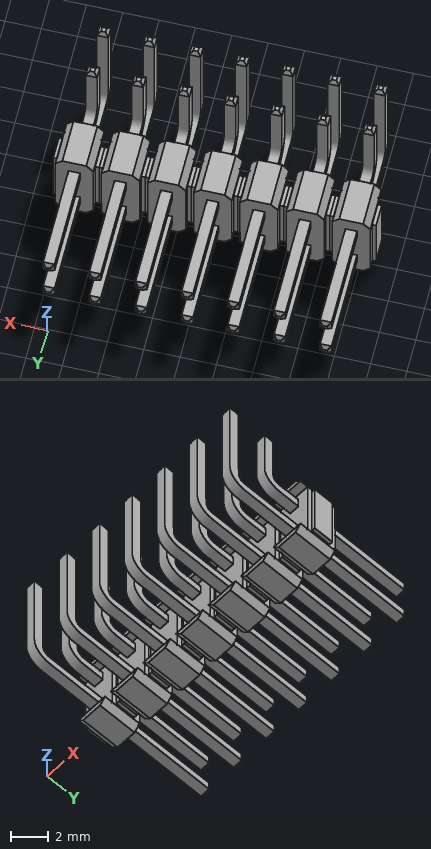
import cadquery as cq
import math

UNIT_COUNT = 7
ROW_LENGTH = 17.78
PITCH = ROW_LENGTH / UNIT_COUNT

BLOCK_WIDTH = 2.1
BLOCK_HEIGHT = 5.0
BLOCK_DEPTH = 2.01
FLANGE_DEPTH = 2.55
FLANGE_THICKNESS = 0.43
CORNER_CHAMFER_WIDTH = 0.4

WEB_HEIGHT = 3.8
WEB_DEPTH = 1.3
WEB_SETBACK = 0.41

PIN_SIZE = 0.64
PIN_BACK_LENGTH = 6.0
TOTAL_DEPTH = 13.03
TOTAL_HEIGHT = 8.0
BEND_INNER_RADIUS = 0.48
TIP_CHAMFER = 0.2

BEND_RADIUS = BEND_INNER_RADIUS + PIN_SIZE / 2
PIN_TOP = TOTAL_HEIGHT - BLOCK_HEIGHT / 2
LOWER_LEG_Y = PIN_BACK_LENGTH - TOTAL_DEPTH + PIN_SIZE / 2
UPPER_LEG_Y = LOWER_LEG_Y + PITCH


def make_block():
    """Flanged block with sloped long edges at its top and bottom."""
    half_width = BLOCK_WIDTH / 2
    half_height = BLOCK_HEIGHT / 2
    flat_half_width = half_width - CORNER_CHAMFER_WIDTH
    side_half_height = half_height - FLANGE_THICKNESS
    octagon = [
        (half_width, side_half_height),
        (flat_half_width, half_height),
        (-flat_half_width, half_height),
        (-half_width, side_half_height),
        (-half_width, -side_half_height),
        (-flat_half_width, -half_height),
        (flat_half_width, -half_height),
        (half_width, -side_half_height),
    ]
    block = cq.Workplane("XZ").polyline(octagon).close().extrude(FLANGE_DEPTH)

    recess = cq.Workplane("XY").box(
        BLOCK_WIDTH, FLANGE_DEPTH - BLOCK_DEPTH, 2 * side_half_height, centered=(True, False, True)
    )
    return block.cut(recess.translate((0, -FLANGE_DEPTH, 0)))


def make_web():
    """Bar one pitch long that meets the bars of the neighbouring units."""
    web = cq.Workplane("XY").box(PITCH, WEB_DEPTH, WEB_HEIGHT)
    return web.translate((0, -WEB_SETBACK - WEB_DEPTH / 2, 0))


def make_pin(leg_y, pin_z):
    """Square pin running forward along Y, then bent upwards at leg_y."""
    bend_y = leg_y + BEND_RADIUS
    bend_z = pin_z + BEND_RADIUS
    arc_offset = BEND_RADIUS * math.sqrt(0.5)
    path = (
        cq.Workplane("YZ")
        .moveTo(PIN_BACK_LENGTH, pin_z)
        .lineTo(bend_y, pin_z)
        .threePointArc((bend_y - arc_offset, bend_z - arc_offset), (leg_y, bend_z))
        .lineTo(leg_y, PIN_TOP)
    )
    pin = (
        cq.Workplane("XZ", origin=(0, PIN_BACK_LENGTH, pin_z))
        .rect(PIN_SIZE, PIN_SIZE)
        .sweep(path)
    )
    return pin.faces(">Y or >Z").chamfer(TIP_CHAMFER)


def make_header_unit(x):
    """One unit: block, web and two pins joined into a single solid."""
    unit = (
        make_block()
        .union(make_web())
        .union(make_pin(UPPER_LEG_Y, PITCH / 2))
        .union(make_pin(LOWER_LEG_Y, -PITCH / 2))
    )
    return unit.translate((x, 0, 0)).val()


header_units = []
for index in range(UNIT_COUNT):
    unit_x = (index - (UNIT_COUNT - 1) / 2) * PITCH
    header_units.append(make_header_unit(unit_x))

result = cq.Compound.makeCompound(header_units)